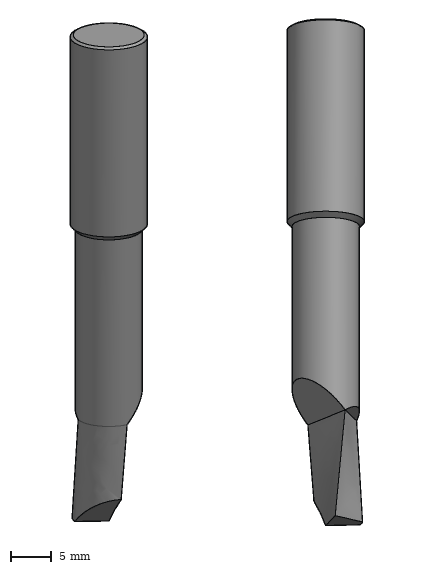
import cadquery as cq
import math

overall_length = 63.5
shank_diameter = 9.53
shank_length = 24.7
shank_chamfer_width = 0.4
shank_chamfer_height = 0.25
neck_diameter = 8.3
blade_length = 13.8

shank_radius = shank_diameter / 2
neck_radius = neck_diameter / 2
shank_bottom = overall_length - shank_length
neck_top = shank_bottom - (shank_radius - neck_radius)

root_radius = neck_radius
root_edge_angle = 200.9
root_heel_angle = 279.2
root_back_angle = 378.0
tip_radius = 4.6
tip_center_x = 0.06
tip_edge_angle = 180.7
tip_heel_angle = 260.5
tip_back_angle = 360.0

runout_slope = 45.0
end_relief_angle = 7.0
nose_bevel_start = 0.18
nose_bevel_angle = 45.0
cutter_size = 20.0


def polar(radius, angle, center_x=0.0):
    """Point on a circle centred on the X axis."""
    turn = math.radians(angle)
    return (center_x + radius * math.cos(turn), radius * math.sin(turn))


def blade_section(height, radius, edge_angle, heel_angle, back_angle, center_x=0.0):
    """Closed outline: rake chord, flank chord and round back."""
    edge = polar(radius, edge_angle, center_x)
    heel = polar(radius, heel_angle, center_x)
    middle = polar(radius, (heel_angle + back_angle) / 2, center_x)
    back = polar(radius, back_angle, center_x)
    outline = cq.Workplane("XY", origin=(0, 0, height)).moveTo(*back).lineTo(*edge).lineTo(*heel)
    return outline.threePointArc(middle, back).close().val()


def make_shank_and_neck():
    """Round body above the blade."""
    profile = (
        cq.Workplane("XZ")
        .moveTo(0, blade_length)
        .lineTo(neck_radius, blade_length)
        .lineTo(neck_radius, neck_top)
        .lineTo(shank_radius, shank_bottom)
        .lineTo(shank_radius, overall_length - shank_chamfer_height)
        .lineTo(shank_radius - shank_chamfer_width, overall_length)
        .lineTo(0, overall_length)
        .close()
    )
    return profile.revolve(360, (0, 0, 0), (0, 1, 0))


def runout_cutter(start_angle, end_angle):
    """Wedge whose sloping face rises outward from a root chord.

    The outward side is on the right when going from the start corner to the end corner.
    """
    start = polar(root_radius, start_angle)
    end = polar(root_radius, end_angle)
    along = (end[0] - start[0], end[1] - start[1], 0)
    outward = (along[1], -along[0], 0)
    rise = cutter_size * math.tan(math.radians(runout_slope))
    chord_start = (start[0], start[1], blade_length)
    plane = cq.Plane(origin=chord_start, xDir=outward, normal=(-along[0], -along[1], 0))
    wedge = cq.Workplane(plane).polyline([(0, 0), (cutter_size, 0), (cutter_size, rise)]).close()
    return wedge.extrude(cutter_size, both=True)


def make_blade():
    """Twisted, tapering blade between the tip and root sections."""
    root = blade_section(blade_length, root_radius, root_edge_angle, root_heel_angle, root_back_angle)
    tip = blade_section(0, tip_radius, tip_edge_angle, tip_heel_angle, tip_back_angle, tip_center_x)
    return cq.Workplane(cq.Solid.makeLoft([tip, root], True))


def end_relief_cutter():
    """Wedge below the end face, its edge lying on the X axis."""
    rise = cutter_size * math.tan(math.radians(end_relief_angle))
    wedge = cq.Workplane("YZ").polyline([(0, 0), (-cutter_size, 0), (-cutter_size, rise)]).close()
    return wedge.extrude(cutter_size, both=True)


def nose_bevel_cutter():
    """Wedge that bevels the +X side of the end face."""
    far_x = nose_bevel_start + cutter_size
    rise = cutter_size * math.tan(math.radians(nose_bevel_angle))
    corners = [(nose_bevel_start, 0), (far_x, 0), (far_x, rise)]
    return cq.Workplane("XZ").polyline(corners).close().extrude(cutter_size, both=True)


body = make_shank_and_neck()
body = body.cut(runout_cutter(root_back_angle, root_edge_angle))
body = body.cut(runout_cutter(root_edge_angle, root_heel_angle))
blade = make_blade().cut(end_relief_cutter()).cut(nose_bevel_cutter())
result = body.union(blade)